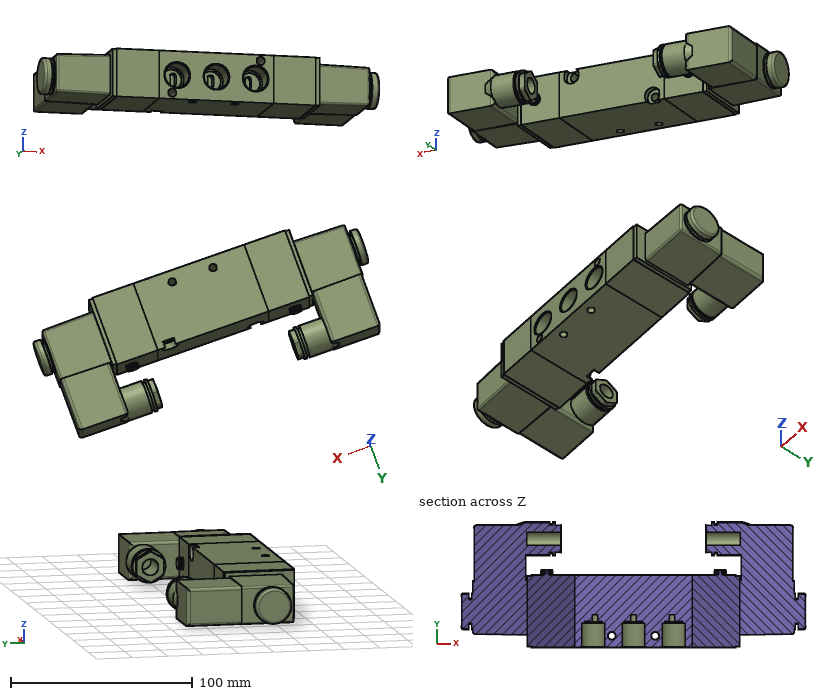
import cadquery as cq
import math


body_depth = 40.0
body_height = 27.0
body_half_length = 32.5

port_spacing = 22.2
port_mouth_radius = 7.4
port_radius = 6.8
port_mouth_chamfer = port_mouth_radius - port_radius
port_depth = 13.3
port_floor_radius = 5.7
port_floor_depth = 1.0
slot_length = 7.4
slot_width = 3.5
slot_depth = 3.8
slot_inward_shift = 1.0

cross_hole_radius = 2.0
cross_hole_half_spacing = 12.0
cross_hole_y = 6.5
long_hole_radius = 2.3
long_hole_x = 25.0
long_hole_z = 10.0
counterbore_radius = 4.5
counterbore_depth = 3.6

cap_outer_x = 56.4
plate_outer_x = 58.6
plate_side_inset = 0.47
plate_top_inset = 0.2
button_x = 47.8
button_radius = 3.5
button_neck_radius = 3.0
button_base_height = 0.5
button_neck_height = 1.0
button_flange_height = 0.5
button_height = 2.8

coil_outer_x = 88.6
coil_center_y = 22.0
coil_outer_depth = 29.5
coil_outer_height = 21.3
coil_inner_depth = 30.4
coil_inner_height = 22.4
coil_fillet = 1.1

nut_y = 20.0
nut_outer_x = 94.9
nut_radius = 10.0
nut_thickness = 4.2
nut_fillet = 1.3
nut_neck_radius = 7.2
washer_thickness = 0.5

plug_outer_x = 88.0
plug_inner_x = 59.5
plug_front_y = coil_center_y + coil_outer_depth / 2
plug_rear_y = 67.5
plug_height = 21.5
plug_fillet = 1.7

gland_y = 60.0
gland_radius = 9.3
gland_tail_x = 64.2
gland_tail_radius = 8.0
gland_shoulder_x = 60.0
gland_groove_outer_x = 46.1
gland_groove_inner_x = 44.6
gland_groove_radius = 8.2
gland_collar_inner_x = 43.0
gland_hex_inner_x = 39.9
gland_hex_across_flats = 15.4
gland_hex_fillet = 1.7
gland_bore_radius = 4.5
gland_bore_depth = 19.0


def box_between(x, y, height):
    """A box over an X range and a Y range, centred on Z = 0."""
    return (
        cq.Workplane("XY", origin=(sum(x) / 2, sum(y) / 2, 0))
        .box(abs(x[1] - x[0]), abs(y[1] - y[0]), height)
    )


def rod_along_x(x_start, x_end, y, radius):
    """A round rod along X between two positions, centred on Z = 0."""
    return cq.Workplane("YZ", origin=(x_start, y, 0)).circle(radius).extrude(x_end - x_start)


def rod_along_y(x, y_start, y_end, z, radius):
    """A round rod along Y between two positions."""
    return cq.Workplane("XZ", origin=(x, y_start, z)).circle(radius).extrude(y_start - y_end)


def port_cutter(side):
    """One port bore with a chamfered mouth, a stepped floor and a slot to the spool bore."""
    x = side * port_spacing
    floor_y = port_depth + port_floor_depth
    bore = rod_along_y(x, 0, port_depth, 0, port_radius)
    floor_step = rod_along_y(x, port_depth, floor_y, 0, port_floor_radius)
    mouth = (
        cq.Workplane("XZ", origin=(x, 0, 0))
        .circle(port_mouth_radius)
        .workplane(offset=-port_mouth_chamfer)
        .circle(port_radius)
        .loft()
    )
    slot = (
        cq.Workplane("XZ", origin=(x - side * slot_inward_shift, floor_y, 0))
        .slot2D(slot_length, slot_width, 90)
        .extrude(-slot_depth)
    )
    return bore.union(mouth).union(floor_step).union(slot)


def make_valve_body():
    body = box_between((-body_half_length, body_half_length), (0, body_depth), body_height)
    for side in (-1, 0, 1):
        body = body.cut(port_cutter(side))
    for side in (-1, 1):
        cross_hole = (
            cq.Workplane("XY", origin=(side * cross_hole_half_spacing, cross_hole_y, -body_height / 2))
            .circle(cross_hole_radius)
            .extrude(body_height)
        )
        x = side * long_hole_x
        z = side * long_hole_z
        long_hole = rod_along_y(x, 0, body_depth, z, long_hole_radius)
        counterbore = rod_along_y(x, body_depth - counterbore_depth, body_depth, z, counterbore_radius)
        body = body.cut(cross_hole).cut(long_hole).cut(counterbore)
    return body


def make_right_cap():
    cap = box_between((body_half_length, cap_outer_x), (0, body_depth), body_height)
    plate = box_between(
        (cap_outer_x, plate_outer_x),
        (plate_side_inset, body_depth - plate_side_inset),
        body_height - 2 * plate_top_inset,
    )
    neck_y = body_depth + button_base_height
    flange_y = neck_y + button_neck_height
    core = rod_along_y(button_x, body_depth, body_depth + button_height, 0, button_neck_radius)
    base = rod_along_y(button_x, body_depth, neck_y, 0, button_radius)
    flange = rod_along_y(button_x, flange_y, flange_y + button_flange_height, 0, button_radius)
    return cap.union(plate).union(core).union(base).union(flange)


def coil_block():
    return (
        cq.Workplane("YZ", origin=(plate_outer_x, coil_center_y, 0))
        .rect(coil_inner_depth, coil_inner_height)
        .workplane(offset=coil_outer_x - plate_outer_x)
        .rect(coil_outer_depth, coil_outer_height)
        .loft()
        .faces("<Y or >X")
        .edges("(not >Y) and (not <X)")
        .fillet(coil_fillet)
    )


def retaining_nut():
    nut_inner_x = nut_outer_x - nut_thickness
    washer = rod_along_x(coil_outer_x, coil_outer_x + washer_thickness, nut_y, nut_radius)
    neck = rod_along_x(coil_outer_x, nut_inner_x, nut_y, nut_neck_radius)
    nut = rod_along_x(nut_inner_x, nut_outer_x, nut_y, nut_radius).faces(">X").edges().fillet(nut_fillet)
    return washer.union(neck).union(nut)


def plug_block():
    return (
        box_between((plug_inner_x, plug_outer_x), (plug_front_y, plug_rear_y), plug_height)
        .edges("(<X or >X) and (not <Y)")
        .fillet(plug_fillet)
    )


def cable_gland():
    profile = [
        (gland_tail_x, 0),
        (gland_tail_x, gland_tail_radius),
        (gland_shoulder_x, gland_radius),
        (gland_groove_outer_x, gland_radius),
        (gland_groove_outer_x, gland_groove_radius),
        (gland_groove_inner_x, gland_groove_radius),
        (gland_groove_inner_x, gland_radius),
        (gland_collar_inner_x, gland_radius),
        (gland_collar_inner_x, 0),
    ]
    barrel = (
        cq.Workplane("XY", origin=(0, gland_y, 0))
        .polyline(profile)
        .close()
        .revolve(360, (0, 0, 0), (1, 0, 0))
    )
    corner_diameter = gland_hex_across_flats / math.cos(math.pi / 6)
    hex_end = (
        cq.Workplane("YZ", origin=(gland_hex_inner_x, gland_y, 0))
        .transformed(rotate=(0, 0, 90))
        .polygon(6, corner_diameter)
        .extrude(gland_collar_inner_x - gland_hex_inner_x)
        .edges("|X")
        .fillet(gland_hex_fillet)
    )
    return barrel.union(hex_end)


def make_right_solenoid():
    bore = rod_along_x(gland_hex_inner_x, gland_hex_inner_x + gland_bore_depth, gland_y, gland_bore_radius)
    return coil_block().union(plug_block()).union(retaining_nut()).union(cable_gland()).cut(bore)


valve_body = make_valve_body()
right_cap = make_right_cap()
right_solenoid = make_right_solenoid()
bodies = [valve_body.val()]

for part in (right_cap, right_solenoid):
    bodies.append(part.val())
    bodies.append(part.mirror("YZ").val())

result = cq.Compound.makeCompound(bodies)